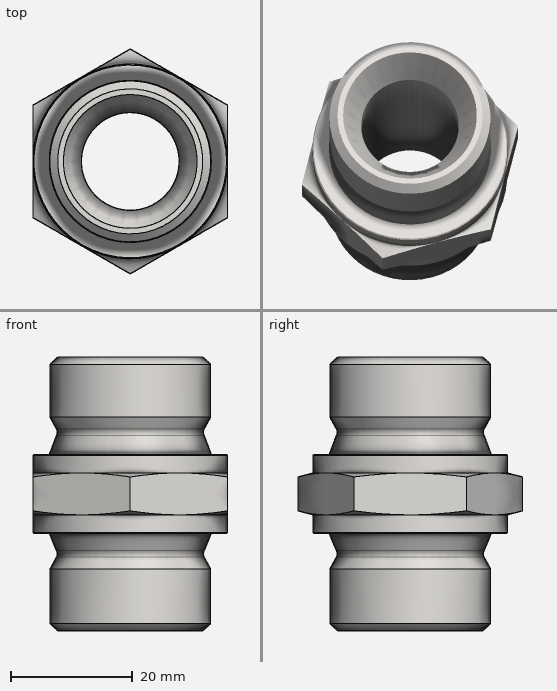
import cadquery as cq
import math

total_length = 45.0
across_flats = 32.0
hex_height = 6.9
hex_chamfer_angle = 15.0

collar_height = 12.95
collar_edge_chamfer = 0.2

thread_radius = 26.4 / 2
end_chamfer_width = 1.3
end_chamfer_height = 1.2
top_thread_length = 9.9
bottom_thread_length = 10.15

groove_radius = 12.0
groove_cone_radius = 12.15
groove_upper_cone_height = 1.95
groove_round_height = 1.1
shoulder_radius = 13.3

bore_radius = 16.0 / 2
seat_radius = 11.0
seat_half_angle = 30.0

flat_radius = across_flats / 2
corner_radius = flat_radius / math.cos(math.radians(30))


def make_end(thread_length):
    """Solid threaded end, pointing up from the mid-plane at z = 0."""
    end_z = total_length / 2
    thread_z = end_z - thread_length
    round_top = thread_z - groove_upper_cone_height
    round_bottom = round_top - groove_round_height
    return (
        cq.Workplane("XZ")
        .lineTo(shoulder_radius, 0)
        .lineTo(shoulder_radius, collar_height / 2)
        .lineTo(groove_cone_radius, round_bottom)
        .threePointArc(
            (groove_radius, (round_top + round_bottom) / 2),
            (groove_cone_radius, round_top),
        )
        .lineTo(thread_radius, thread_z)
        .lineTo(thread_radius, end_z - end_chamfer_height)
        .lineTo(thread_radius - end_chamfer_width, end_z)
        .lineTo(0, end_z)
        .close()
        .revolve(360, (0, 0), (0, 1))
    )


def make_hexagon():
    """Hexagon with corners on the Y axis and both faces turned to a cone."""
    prism = (
        cq.Workplane("XY")
        .polygon(6, 2 * corner_radius)
        .extrude(hex_height / 2, both=True)
        .rotate((0, 0, 0), (0, 0, 1), 30)
    )
    half_height = hex_height / 2
    drop = (corner_radius - flat_radius) * math.tan(math.radians(hex_chamfer_angle))
    turned = (
        cq.Workplane("XZ")
        .moveTo(0, -half_height)
        .lineTo(flat_radius, -half_height)
        .lineTo(corner_radius, drop - half_height)
        .lineTo(corner_radius, half_height - drop)
        .lineTo(flat_radius, half_height)
        .lineTo(0, half_height)
        .close()
        .revolve(360, (0, 0), (0, 1))
    )
    return prism.intersect(turned)


def make_collar():
    return (
        cq.Workplane("XY")
        .circle(flat_radius)
        .extrude(collar_height / 2, both=True)
        .faces("|Z")
        .edges()
        .chamfer(collar_edge_chamfer)
    )


def make_seat():
    """Conical cutter for the mouth of the bore at the upper end."""
    end_z = total_length / 2
    seat_depth = (seat_radius - bore_radius) / math.tan(math.radians(seat_half_angle))
    return (
        cq.Workplane("XZ")
        .moveTo(0, end_z - seat_depth)
        .lineTo(bore_radius, end_z - seat_depth)
        .lineTo(seat_radius, end_z)
        .lineTo(0, end_z)
        .close()
        .revolve(360, (0, 0), (0, 1))
    )


def flip(shape):
    return shape.mirror("XY")


body = make_hexagon().union(make_collar())
body = body.union(make_end(top_thread_length))
body = body.union(flip(make_end(bottom_thread_length)))

bore = cq.Workplane("XY").circle(bore_radius).extrude(total_length, both=True)
result = body.cut(bore).cut(make_seat()).cut(flip(make_seat()))